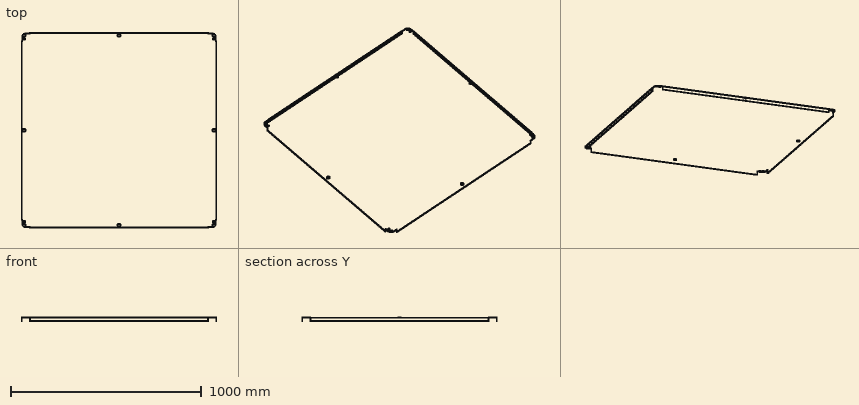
import cadquery as cq

side = 1021.0
height = 19.0
sheet = 2.0
bend_radius = 2.6
corner_radius = 20.0
flange_inset = 43.0

fixing_diameter = 14.0
fixing_inset = 13.0
pin_diameter = 8.0
pin_inset_x = 14.0
pin_inset_y = 32.0

half = side / 2
plate_side = side - 2 * bend_radius
flange_length = side - 2 * flange_inset


def make_plate():
    """Flat sheet that ends where the flange bends begin."""
    plate = cq.Workplane("XY").rect(plate_side, plate_side).extrude(-sheet)
    return plate.edges("|Z").fillet(corner_radius)


def make_flange():
    """Flange on the +X side: a quarter-round bend and a straight drop."""
    bend_start = plate_side / 2
    inner_radius = bend_radius - sheet
    profile = (
        cq.Workplane("XZ")
        .moveTo(bend_start, 0)
        .radiusArc((half, -bend_radius), bend_radius)
        .lineTo(half, -height)
        .lineTo(half - sheet, -height)
        .lineTo(half - sheet, -bend_radius)
        .radiusArc((bend_start, -sheet), -inner_radius)
        .close()
    )
    return profile.extrude(flange_length / 2, both=True)


def drill(body, points, diameter):
    cutter = cq.Workplane("XY").pushPoints(points).circle(diameter / 2).extrude(-sheet)
    return body.cut(cutter)


result = make_plate()
for angle in (0, 90, 180, 270):
    flange = make_flange().rotate((0, 0, 0), (0, 0, 1), angle)
    result = result.union(flange)

reach = half - fixing_inset
steps = (-1, 0, 1)
fixing_points = [(i * reach, j * reach) for i in steps for j in steps if (i, j) != (0, 0)]
result = drill(result, fixing_points, fixing_diameter)

pin_points = [(i * (half - pin_inset_x), j * (half - pin_inset_y)) for i in (-1, 1) for j in (-1, 1)]
result = drill(result, pin_points, pin_diameter)